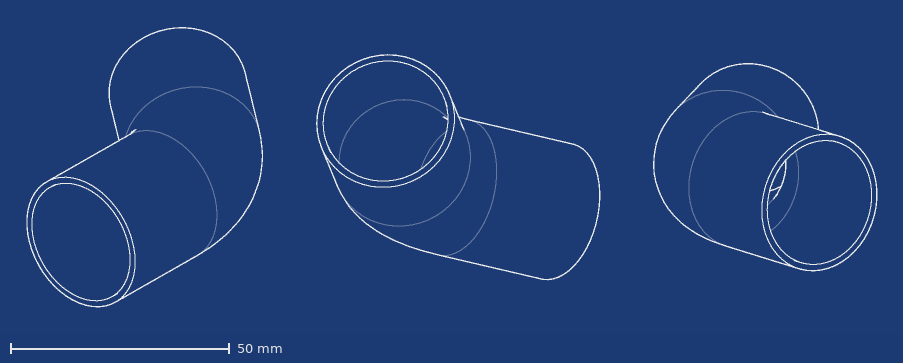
import cadquery as cq
import math

outer_diameter = 31.75
inner_diameter = 28.8
leg_length = 30.0
bend_radius = 31.8
bend_angle = 45.0


def bend_point(angle):
    """Centreline point after turning by the given angle in degrees, from +Y toward -X."""
    turn = math.radians(angle)
    x = bend_radius * (math.cos(turn) - 1)
    y = leg_length + bend_radius * math.sin(turn)
    return x, y


bend_end_x, bend_end_y = bend_point(bend_angle)
leg_turn = math.radians(bend_angle)
pipe_end = (
    bend_end_x - leg_length * math.sin(leg_turn),
    bend_end_y + leg_length * math.cos(leg_turn),
)
centreline = (
    cq.Workplane("XY")
    .lineTo(0, leg_length)
    .threePointArc(bend_point(bend_angle / 2), (bend_end_x, bend_end_y))
    .lineTo(*pipe_end)
)

result = (
    cq.Workplane("XZ")
    .circle(outer_diameter / 2)
    .circle(inner_diameter / 2)
    .sweep(centreline)
)